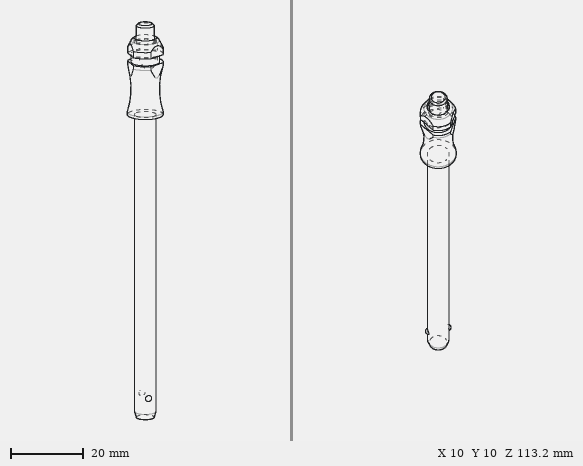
import cadquery as cq

total_height = 113.2
nose_height = 1.7
ball_height = 6.2
grip_bottom = 87.0
grip_band_top = 87.8
waist_height = 94.5
collar_bottom = 101.2
collar_top = 102.2
head_bottom = 104.5
head_band_top = 106.3
shoulder_height = 108.3
head_top = 109.1

nose_radius = 2.5
shaft_diameter = 6.0
shaft_radius = shaft_diameter / 2
grip_radius = 5.0
waist_radius = 4.0
neck_radius = waist_radius
shoulder_radius = waist_radius
head_top_radius = 3.0
button_radius = 2.5
ball_radius = 0.9

button_chamfer = 0.6
recess_depth = 1.1
ball_reach = 3.6
flat_distance = 4.3
flat_count = 3


def flare_radius(waist, rim, height):
    """Radius on the flare arc, which is tangent to the axis direction at the waist."""
    rise = abs(rim - waist)
    growth = grip_radius - waist_radius
    arc_radius = (rise**2 + growth**2) / (2 * growth)
    offset = abs(height - waist)
    return waist_radius + arc_radius - (arc_radius**2 - offset**2) ** 0.5


def make_shaft():
    return (
        cq.Workplane("XZ")
        .lineTo(nose_radius, 0)
        .lineTo(shaft_radius, nose_height)
        .lineTo(shaft_radius, grip_bottom)
        .lineTo(0, grip_bottom)
        .close()
        .revolve(360, (0, 0), (0, 1))
    )


def make_handle():
    lower_mid = (grip_band_top + waist_height) / 2
    upper_mid = (waist_height + collar_bottom) / 2
    lower_mid_radius = flare_radius(waist_height, grip_band_top, lower_mid)
    upper_mid_radius = flare_radius(waist_height, collar_bottom, upper_mid)
    return (
        cq.Workplane("XZ")
        .moveTo(0, grip_bottom)
        .lineTo(grip_radius, grip_bottom)
        .lineTo(grip_radius, grip_band_top)
        .threePointArc((lower_mid_radius, lower_mid), (waist_radius, waist_height))
        .threePointArc((upper_mid_radius, upper_mid), (grip_radius, collar_bottom))
        .lineTo(grip_radius, collar_top)
        .lineTo(neck_radius, collar_top)
        .lineTo(neck_radius, head_bottom)
        .lineTo(grip_radius, head_bottom)
        .lineTo(grip_radius, head_band_top)
        .lineTo(shoulder_radius, shoulder_height)
        .tangentArcPoint((head_top_radius, head_top), relative=False)
        .lineTo(head_top_radius, head_top - recess_depth)
        .lineTo(button_radius, head_top - recess_depth)
        .lineTo(button_radius, total_height - button_chamfer)
        .lineTo(button_radius - button_chamfer, total_height)
        .lineTo(0, total_height)
        .close()
        .revolve(360, (0, 0), (0, 1))
    )


def make_flat_cutter(angle):
    """Block outside one wrench flat; at angle 0 the flat faces -Y."""
    depth = grip_radius
    height = total_height - waist_height
    return (
        cq.Workplane("XY")
        .box(2 * grip_radius, depth, height, centered=(True, False, False))
        .translate((0, -flat_distance - depth, waist_height))
        .rotate((0, 0, 0), (0, 0, 1), angle)
    )


handle = make_handle()
for index in range(flat_count):
    handle = handle.cut(make_flat_cutter(index * 360 / flat_count))

result = make_shaft().union(handle)
for side in (-1, 1):
    ball_center = (side * (ball_reach - ball_radius), 0, ball_height)
    result = result.union(cq.Workplane("XY").sphere(ball_radius).translate(ball_center))